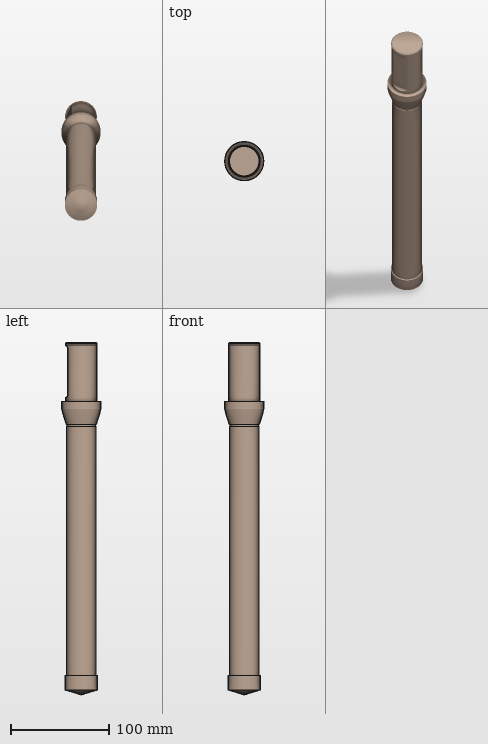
import cadquery as cq
import math

total_length = 359.0
upper_shank_radius = 32.0 / 2
lower_shank_radius = 30.5 / 2
collar_radius = 40.0 / 2
neck_radius = 29.5 / 2
tip_radius = 33.0 / 2

cone_height = 5.0
tip_top = 19.7
neck_bottom = 273.2
neck_height = 2.0
collar_taper_height = 15.8
collar_taper_radius = 93.5
collar_band_height = 8.0
neck_top = neck_bottom + neck_height
band_bottom = neck_top + collar_taper_height
collar_top = band_bottom + collar_band_height

rim_radius = 32.3 / 2
rim_height = 2.5
rim_bevel = 1.0

flat_depth = 2.0
flat_end_radius = 6.5 / 2
flat_bottom = collar_top + 3.5
flat_top = total_length - 3.2


def make_shank():
    """Turned shank with a convex collar taper, a neck and a rimmed top."""
    profile = (
        cq.Workplane("XZ")
        .moveTo(0, tip_top)
        .lineTo(lower_shank_radius, tip_top)
        .lineTo(lower_shank_radius, neck_bottom)
        .lineTo(neck_radius, neck_bottom)
        .lineTo(neck_radius, neck_top)
        .lineTo(lower_shank_radius, neck_top)
        .radiusArc((collar_radius, band_bottom), -collar_taper_radius)
        .lineTo(collar_radius, collar_top)
        .lineTo(upper_shank_radius, collar_top)
        .lineTo(upper_shank_radius, total_length - rim_height)
        .lineTo(rim_radius, total_length - rim_height)
        .lineTo(rim_radius, total_length - rim_bevel)
        .lineTo(rim_radius - rim_bevel, total_length)
        .lineTo(0, total_length)
        .close()
    )
    turned = profile.revolve(360, (0, 0, 0), (0, 1, 0))
    return turned.cut(make_flat_cutter())


def make_flat_cutter():
    """Bar across X that leaves the flat with a round run-out at each end."""
    flat_y = upper_shank_radius - flat_depth
    thickness = 2 * flat_end_radius
    run_out = math.sqrt(flat_end_radius**2 - (flat_end_radius - flat_depth) ** 2)
    length = flat_top - flat_bottom + 2 * (flat_end_radius - run_out)
    bar = (
        cq.Workplane("YZ")
        .slot2D(length, thickness, 90)
        .extrude(upper_shank_radius, both=True)
    )
    return bar.translate((0, flat_y + thickness / 2, (flat_top + flat_bottom) / 2))


def make_tip():
    """Cylindrical tip with a conical point."""
    profile = (
        cq.Workplane("XZ")
        .lineTo(tip_radius, cone_height)
        .lineTo(tip_radius, tip_top)
        .lineTo(0, tip_top)
        .close()
    )
    return profile.revolve(360, (0, 0, 0), (0, 1, 0))


shank = make_shank()
tip = make_tip()
result = cq.Compound.makeCompound([shank.val(), tip.val()])